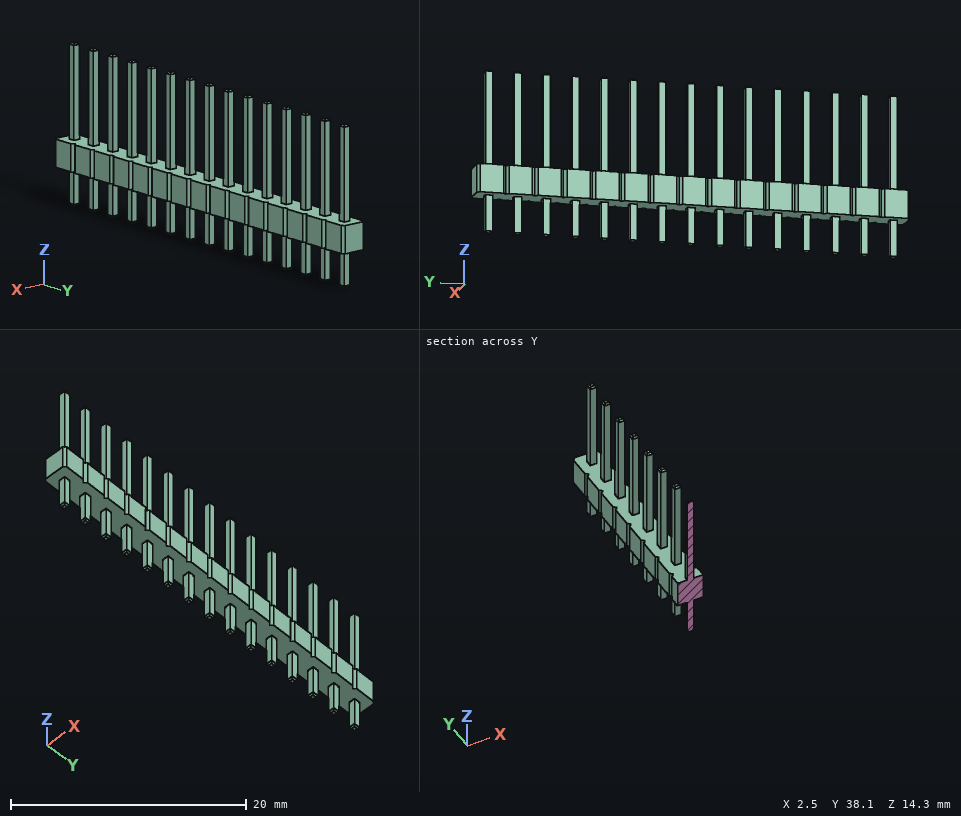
import cadquery as cq

pin_count = 15
pitch = 2.54

housing_width = 2.5
housing_height = 2.5
corner_chamfer = 0.25

pin_side = 0.64
pin_above = 8.5
pin_below = 3.3
tip_chamfer = 0.15

pin_positions = [(i - (pin_count - 1) / 2) * pitch for i in range(pin_count)]


def housing_cell(y):
    """One housing block with chamfered vertical edges; neighbours form V notches."""
    block = cq.Workplane("XY").box(
        housing_width, pitch, housing_height, centered=(True, True, False)
    )
    return block.edges("|Z").chamfer(corner_chamfer).translate((0, y, 0))


def pin(y):
    """Square pin running through the housing, chamfered at both ends."""
    pin_length = pin_below + housing_height + pin_above
    shank = cq.Workplane("XY").box(
        pin_side, pin_side, pin_length, centered=(True, True, False)
    )
    chamfered = shank.faces("<Z or >Z").edges().chamfer(tip_chamfer)
    return chamfered.translate((0, y, -pin_below))


def housing():
    """Row of joined cells with their coplanar faces merged."""
    row = housing_cell(pin_positions[0])
    for y in pin_positions[1:]:
        row = row.union(housing_cell(y))
    return row.clean()


result = housing()
for y in pin_positions:
    result = result.union(pin(y))